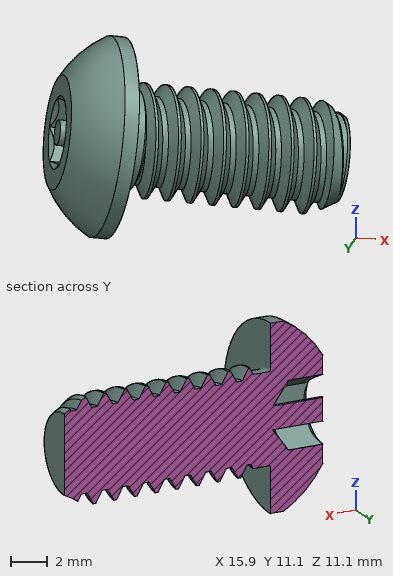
import cadquery as cq
import math

total_length = 15.93

head_radius = 11.1 / 2
face_radius = 3.17
dome_height = 2.42
head_height = 3.23

socket_width = 3.5
socket_depth = 2.12
socket_floor_slope = math.radians(35)
socket_chamfer_slope = math.radians(45)
pin_radius = 0.7

neck_radius = 2.75
neck_end = 4.29
neck_fillet = 0.1

pitch = 1.27
thread_radius = 3.17
crest_width = pitch / 8
root_width = pitch / 4
flank_angle = math.radians(30)
flank_run = (pitch - crest_width - root_width) / 2
root_radius = thread_radius - flank_run / math.tan(flank_angle)
crest_position = 3.85
root_overlap = 0.08
tip_radius = 2.37
tip_angle = math.radians(30)
ring_margin = 0.32


def revolve_about_x(profile):
    """Turn a closed profile, drawn as (x, radius), about the X axis."""
    return profile.revolve(360, (0, 0, 0), (1, 0, 0))


def cone_along_x(base_x, radius, slope):
    """Cone with its base at base_x and its point toward +X."""
    return revolve_about_x(
        cq.Workplane("XY")
        .moveTo(base_x, 0)
        .lineTo(base_x, radius)
        .lineTo(base_x + radius * math.tan(slope), 0)
        .close()
    )


def make_head_and_neck():
    """Solid turned head with its rim and the plain neck below it."""
    sphere_x = (dome_height**2 + head_radius**2 - face_radius**2) / (2 * dome_height)
    sphere_radius = math.hypot(sphere_x, face_radius)
    mid_x = dome_height / 2
    mid_radius = math.sqrt(sphere_radius**2 - (sphere_x - mid_x) ** 2)
    fillet_mid = neck_fillet * (1 - math.sqrt(0.5))
    taper_end = neck_end + (neck_radius - root_radius) * math.tan(flank_angle)
    return revolve_about_x(
        cq.Workplane("XY")
        .lineTo(0, face_radius)
        .threePointArc((mid_x, mid_radius), (dome_height, head_radius))
        .lineTo(head_height, head_radius)
        .lineTo(head_height, neck_radius + neck_fillet)
        .threePointArc(
            (head_height + fillet_mid, neck_radius + fillet_mid),
            (head_height + neck_fillet, neck_radius),
        )
        .lineTo(neck_end, neck_radius)
        .lineTo(taper_end, root_radius)
        .lineTo(taper_end, 0)
        .close()
    )


def make_thread_ridge():
    """Right-hand helical ridge, longer than the thread at both ends."""
    start = crest_position - pitch
    turns = math.ceil((total_length + pitch / 2 - start) / pitch)
    helix = cq.Wire.makeHelix(pitch, turns * pitch, root_radius)
    inner_radius = root_radius - root_overlap
    half_base = crest_width / 2 + flank_run + root_overlap * math.tan(flank_angle)
    half_crest = crest_width / 2
    ridge = (
        cq.Workplane("XZ")
        .moveTo(inner_radius, -half_base)
        .lineTo(thread_radius, -half_crest)
        .lineTo(thread_radius, half_crest)
        .lineTo(inner_radius, half_base)
        .close()
        .sweep(cq.Workplane(helix), isFrenet=True)
    )
    return ridge.rotate((0, 0, 0), (0, 1, 0), 90).translate((start, 0, 0))


def make_cone_ring(inner_x, inner_radius, run_per_rise):
    """Ring outside a cone that widens past the thread, run_per_rise along X for each unit of radius.

    The cone passes through inner_x at inner_radius; a negative run widens toward the head.
    """
    rise = thread_radius + ring_margin - inner_radius
    return revolve_about_x(
        cq.Workplane("XY")
        .moveTo(inner_x, inner_radius)
        .lineTo(inner_x + rise * run_per_rise, inner_radius + rise)
        .lineTo(inner_x, inner_radius + rise)
        .close()
    )


def make_threaded_shank():
    """Core with its thread, cut conical where it leaves the neck and at the tip."""
    shank_block = (
        cq.Workplane("YZ")
        .workplane(offset=neck_end)
        .rect(2 * head_radius, 2 * head_radius)
        .extrude(total_length - neck_end)
    )
    core = cq.Workplane("YZ").workplane(offset=head_height).circle(root_radius).extrude(total_length)
    start_ring = make_cone_ring(neck_end, neck_radius, math.tan(flank_angle))
    tip_ring = make_cone_ring(total_length, tip_radius, -1 / math.tan(tip_angle))
    return core.union(make_thread_ridge()).intersect(shank_block).cut(start_ring).cut(tip_ring)


def make_socket():
    """Volume removed for the socket: hex, entry chamfer and conical floor around the pin."""
    corner_radius = socket_width / 2 / math.cos(math.pi / 6)
    bore = cq.Workplane("YZ").circle(corner_radius).extrude(socket_depth)
    bore = bore.union(cone_along_x(socket_depth, corner_radius, socket_floor_slope))
    hexagon = (
        cq.Workplane("YZ")
        .polygon(6, 2 * corner_radius)
        .extrude(neck_end)
        .rotate((0, 0, 0), (1, 0, 0), 90)
    )
    chamfer = cone_along_x(0, corner_radius, socket_chamfer_slope)
    pin = cq.Workplane("YZ").circle(pin_radius).extrude(neck_end)
    return hexagon.intersect(bore).union(chamfer).cut(pin)


result = make_head_and_neck().union(make_threaded_shank()).cut(make_socket())